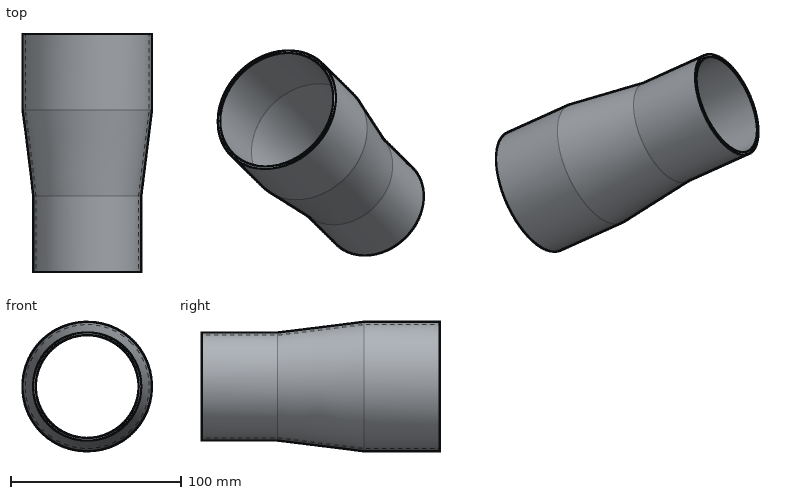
import cadquery as cq

total_length = 139.7
large_diameter = 76.1
small_diameter = 63.5
wall = 1.7
end_length = 44.5

half_length = total_length / 2
taper_end = half_length - end_length


def reducer_body(large_radius, small_radius):
    """Solid of revolution: small sleeve, conical taper, large sleeve."""
    return (
        cq.Workplane("XY")
        .moveTo(0, -half_length)
        .lineTo(small_radius, -half_length)
        .lineTo(small_radius, -taper_end)
        .lineTo(large_radius, taper_end)
        .lineTo(large_radius, half_length)
        .lineTo(0, half_length)
        .close()
        .revolve(360, (0, 0, 0), (0, 1, 0))
    )


large_radius = large_diameter / 2
small_radius = small_diameter / 2

outside = reducer_body(large_radius, small_radius)
bore = reducer_body(large_radius - wall, small_radius - wall)
result = outside.cut(bore)